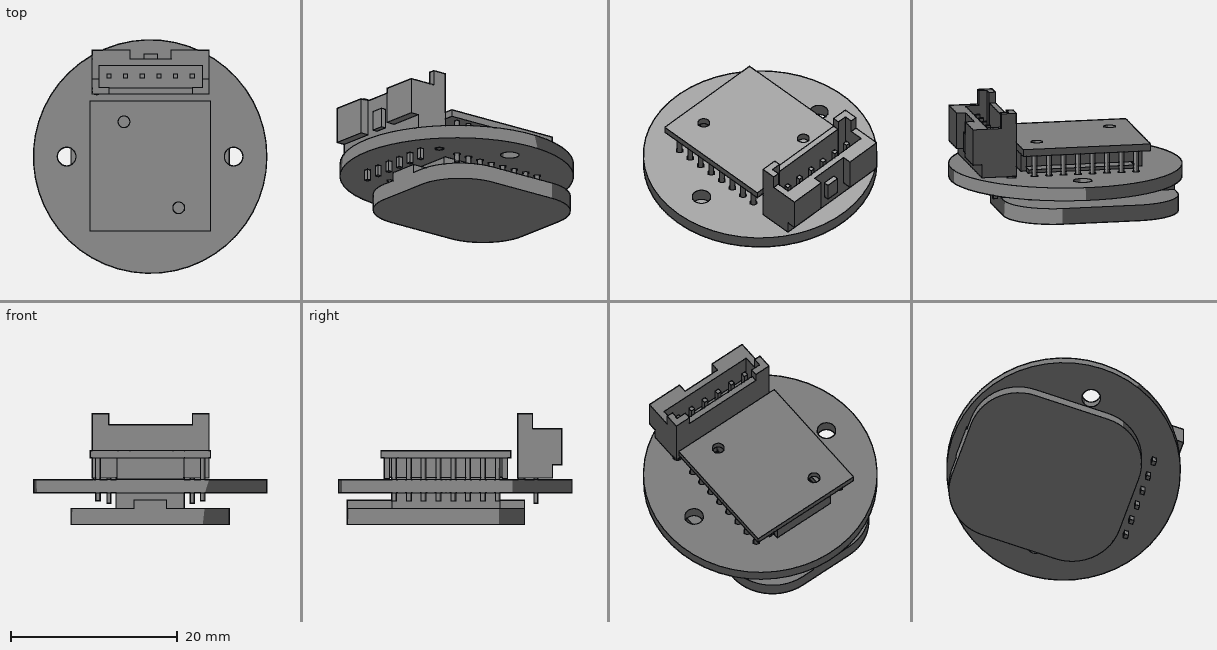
import cadquery as cq

BOARD_DIAMETER = 28.0
BOARD_BOTTOM = 3.8
BOARD_TOP = 5.38
MOUNT_HOLE_DIAMETER = 2.2
MOUNT_HOLE_X = 10.0
OPENING_WIDTH = 9.18
OPENING_LENGTH = 13.33

MODULE_Y = -1.12

PLATE_WIDTH = 19.0
PLATE_LENGTH = 21.28
PLATE_CORNER_RADIUS = 6.0
PLATE_Y = -2.32
PLATE_TOP = 1.93
RIDGE_WIDTH = 3.85
RIDGE_TOP = 2.95
BLOCK_WIDTH = 8.23
BLOCK_LENGTH = 12.95
BLOCK_TOP = 5.65

MODULE_X = 0.03
MODULE_WIDTH = 14.42
MODULE_LENGTH = 15.6
MODULE_BOTTOM = 8.0
MODULE_TOP = 8.85
MODULE_HOLE_DIAMETER = 1.4
MODULE_HOLE_POINTS = [(-3.15, 4.17), (3.42, -6.13)]
SPACER_WIDTH = 8.0
SPACER_THICKNESS = 0.67
SPACER_SPAN = 14.8
SPACER_BOTTOM = 5.5
CORE_WIDTH = 4.48
MODULE_PIN_DIAMETER = 0.6
MODULE_PIN_HOLE_DIAMETER = 0.8
MODULE_PIN_BOTTOM = 2.85
MODULE_ROW_LENGTH = 12.43
MODULE_PINS_PER_ROW = 8
MODULE_ROW_SPACING = 12.55

CONNECTOR_X = 0.05
CONNECTOR_WIDTH = 14.0
CONNECTOR_FRONT = 7.48
CONNECTOR_REAR = 12.77
CONNECTOR_BOTTOM = 5.57
CONNECTOR_TOP = 13.3
SHOULDER_TOP = 11.5
SHOULDER_FRONT = 9.27
UNDERCUT_TOP = 7.17
REAR_WALL_FACE = 11.68
CAVITY_WIDTH = 12.4
CAVITY_FRONT = 8.3
CAVITY_REAR = 10.92
CAVITY_FLOOR = 7.17
WINDOW_WIDTH = 10.02
WINDOW_SILL = 11.98
WINDOW_RELIEF = 0.08
REAR_SLOT_WIDTH = 4.9
KEY_WIDTH = 1.62
KEY_DEPTH = 0.62
KEY_TOP = 9.52
CONNECTOR_PIN_SIZE = 0.5
CONNECTOR_ROW_LENGTH = 10.0
CONNECTOR_PIN_COUNT = 6
CONNECTOR_PIN_Y = 9.65
CONNECTOR_PIN_BOTTOM = 2.55
CONNECTOR_PIN_TOP = 10.65
PEG_DIAMETER = 0.8
PEG_HOLE_DIAMETER = 1.1
PEG_X = -6.4
PEG_Y = 7.95


def box(x_range, y_range, z_range):
    """Box between the given limits along each axis."""
    (x0, x1), (y0, y1), (z0, z1) = x_range, y_range, z_range
    return cq.Workplane("XY").box(x1 - x0, y1 - y0, z1 - z0, centered=False).translate((x0, y0, z0))


def about(centre, size):
    """Limits of a length centred on a position."""
    return (centre - size / 2, centre + size / 2)


def cylinders(points, diameter, z_range):
    """Upright cylinders of one diameter at the given points."""
    bottom, top = z_range
    sketch = cq.Workplane("XY").workplane(offset=bottom).pushPoints(points).circle(diameter / 2)
    return sketch.extrude(top - bottom)


def row(count, length, centre):
    """Evenly spaced positions over a length centred on a position."""
    return [centre - length / 2 + i * length / (count - 1) for i in range(count)]


module_pin_points = [
    (x, y)
    for x in row(2, MODULE_ROW_SPACING, MODULE_X)
    for y in row(MODULE_PINS_PER_ROW, MODULE_ROW_LENGTH, MODULE_Y)
]
connector_pin_points = [
    (x, CONNECTOR_PIN_Y) for x in row(CONNECTOR_PIN_COUNT, CONNECTOR_ROW_LENGTH, CONNECTOR_X)
]


def connector_pins(z_range):
    """The row of square connector pins between two heights."""
    bottom, top = z_range
    return (
        cq.Workplane("XY")
        .workplane(offset=bottom)
        .pushPoints(connector_pin_points)
        .rect(CONNECTOR_PIN_SIZE, CONNECTOR_PIN_SIZE)
        .extrude(top - bottom)
    )


def make_board():
    """Round board with mounting holes, an opening around the carrier block, and pin holes."""
    thickness = (BOARD_BOTTOM, BOARD_TOP)
    board = cylinders([(0, 0)], BOARD_DIAMETER, thickness)
    board = board.cut(cylinders([(-MOUNT_HOLE_X, 0), (MOUNT_HOLE_X, 0)], MOUNT_HOLE_DIAMETER, thickness))
    board = board.cut(box(about(0, OPENING_WIDTH), about(MODULE_Y, OPENING_LENGTH), thickness))
    board = board.cut(cylinders(module_pin_points, MODULE_PIN_HOLE_DIAMETER, thickness))
    board = board.cut(cylinders([(PEG_X, PEG_Y)], PEG_HOLE_DIAMETER, thickness))
    return board.cut(connector_pins(thickness))


def make_carrier():
    """Rounded plate with a ridge along its length and a block that rises through the board opening."""
    plate_y = about(PLATE_Y, PLATE_LENGTH)
    plate = box(about(0, PLATE_WIDTH), plate_y, (0, PLATE_TOP)).edges("|Z").fillet(PLATE_CORNER_RADIUS)
    ridge = box(about(0, RIDGE_WIDTH), plate_y, (PLATE_TOP, RIDGE_TOP))
    block = box(about(0, BLOCK_WIDTH), about(MODULE_Y, BLOCK_LENGTH), (PLATE_TOP, BLOCK_TOP))
    return plate.union(ridge).union(block)


def make_module():
    """Small board with a spacer at each end, a core resting on the carrier block, and its pins."""
    module = box(about(MODULE_X, MODULE_WIDTH), about(MODULE_Y, MODULE_LENGTH), (MODULE_BOTTOM, MODULE_TOP))
    spacer_x = about(MODULE_X, SPACER_WIDTH)
    spacer_z = (SPACER_BOTTOM, MODULE_BOTTOM)
    for spacer_y in row(2, SPACER_SPAN - SPACER_THICKNESS, MODULE_Y):
        module = module.union(box(spacer_x, about(spacer_y, SPACER_THICKNESS), spacer_z))
    core_y = about(MODULE_Y, SPACER_SPAN - 2 * SPACER_THICKNESS)
    module = module.union(box(about(MODULE_X, CORE_WIDTH), core_y, (BLOCK_TOP, MODULE_BOTTOM)))
    module = module.cut(cylinders(MODULE_HOLE_POINTS, MODULE_HOLE_DIAMETER, (MODULE_BOTTOM, MODULE_TOP)))
    return module.union(cylinders(module_pin_points, MODULE_PIN_DIAMETER, (MODULE_PIN_BOTTOM, MODULE_BOTTOM)))


def make_connector():
    """Housing with a stepped side profile, a cavity, a front window, a keyed rear slot, a peg and pins."""
    x_left, x_right = about(CONNECTOR_X, CONNECTOR_WIDTH)
    housing = (
        cq.Workplane("YZ")
        .workplane(offset=x_left)
        .polyline(
            [
                (CONNECTOR_FRONT, CONNECTOR_BOTTOM),
                (CONNECTOR_FRONT, CONNECTOR_TOP),
                (SHOULDER_FRONT, CONNECTOR_TOP),
                (SHOULDER_FRONT, SHOULDER_TOP),
                (CONNECTOR_REAR, SHOULDER_TOP),
                (CONNECTOR_REAR, UNDERCUT_TOP),
                (REAR_WALL_FACE, UNDERCUT_TOP),
                (REAR_WALL_FACE, CONNECTOR_BOTTOM),
            ]
        )
        .close()
        .extrude(x_right - x_left)
    )
    cavity_z = (CAVITY_FLOOR, CONNECTOR_TOP)
    window_x = about(CONNECTOR_X, WINDOW_WIDTH)
    housing = housing.cut(box(about(CONNECTOR_X, CAVITY_WIDTH), (CAVITY_FRONT, CAVITY_REAR), cavity_z))
    housing = housing.cut(box(window_x, (CAVITY_FRONT - WINDOW_RELIEF, CAVITY_FRONT), cavity_z))
    housing = housing.cut(box(window_x, (CONNECTOR_FRONT, CAVITY_FRONT), (WINDOW_SILL, CONNECTOR_TOP)))
    rear_slot_y = (REAR_WALL_FACE, CONNECTOR_REAR)
    housing = housing.cut(box(about(CONNECTOR_X, REAR_SLOT_WIDTH), rear_slot_y, (UNDERCUT_TOP, SHOULDER_TOP)))
    key_y = (REAR_WALL_FACE, REAR_WALL_FACE + KEY_DEPTH)
    housing = housing.union(box(about(CONNECTOR_X, KEY_WIDTH), key_y, (UNDERCUT_TOP, KEY_TOP)))
    housing = housing.union(cylinders([(PEG_X, PEG_Y)], PEG_DIAMETER, (BOARD_BOTTOM, CONNECTOR_BOTTOM)))
    return housing.union(connector_pins((CONNECTOR_PIN_BOTTOM, CONNECTOR_PIN_TOP)))


board = make_board()
carrier = make_carrier()
module = make_module()
connector = make_connector()

result = cq.Compound.makeCompound([board.val(), carrier.val(), module.val(), connector.val()])